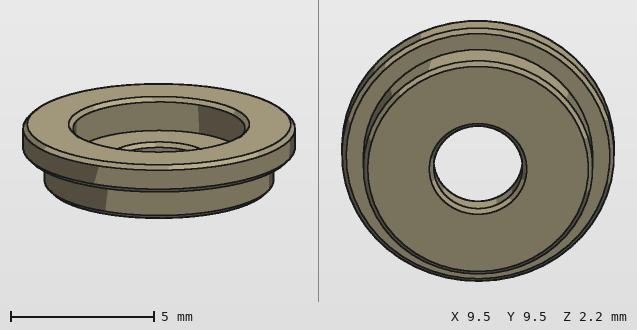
import cadquery as cq

flange_diameter = 9.5
flange_thickness = 1.0
total_height = 2.2
boss_diameter = 8.0

recess_diameter = 6.0
recess_depth = 1.2
hole_diameter = 3.1

edge_chamfer = 0.15

boss_height = total_height - flange_thickness
recess_floor = total_height - recess_depth


def chamfered_disc(diameter, bottom, height, edges):
    """Upright disc with its selected circular edges chamfered."""
    disc = cq.Workplane("XY").workplane(offset=bottom).circle(diameter / 2).extrude(height)
    return disc.faces(edges).edges().chamfer(edge_chamfer)


def countersink(diameter, height, direction):
    """Cone that breaks a bore edge at the given height; direction points out of the bore."""
    radius = diameter / 2
    cone = cq.Solid.makeCone(
        radius + edge_chamfer,
        radius,
        edge_chamfer,
        cq.Vector(0, 0, height),
        cq.Vector(0, 0, -direction),
    )
    return cq.Workplane(obj=cone)


boss = chamfered_disc(boss_diameter, 0, boss_height, "<Z")
flange = chamfered_disc(flange_diameter, boss_height, flange_thickness, "<Z or >Z")
body = boss.union(flange)

recess = cq.Workplane("XY").workplane(offset=recess_floor).circle(recess_diameter / 2).extrude(recess_depth)
hole = cq.Workplane("XY").circle(hole_diameter / 2).extrude(total_height)
body = body.cut(recess).cut(hole)

body = body.cut(countersink(recess_diameter, total_height, 1))
body = body.cut(countersink(hole_diameter, recess_floor, 1))
body = body.cut(countersink(hole_diameter, 0, -1))

result = body